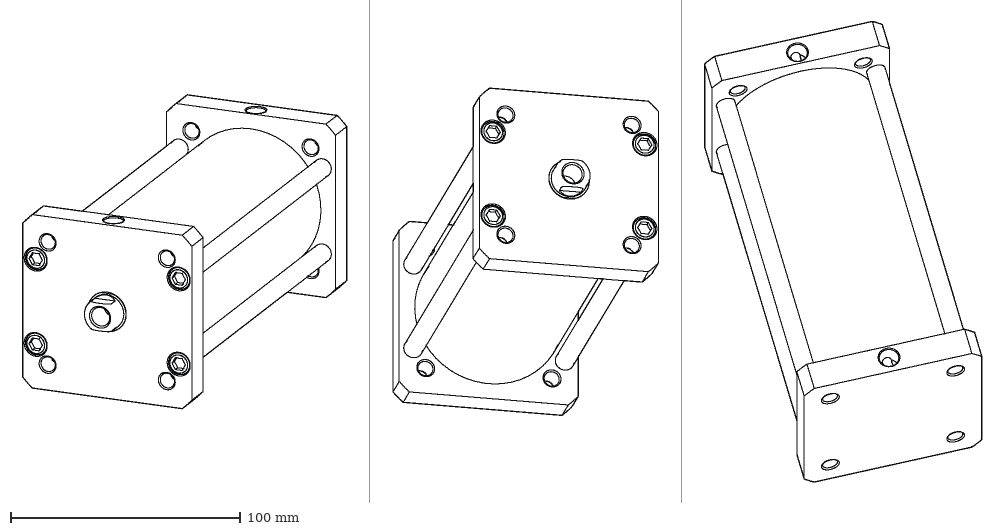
import cadquery as cq
import math

overall_length = 182.0
cap_width = 80.0
cap_thickness = 12.7
cap_corner_diameter = 107.0
rod_reach = 8.0
tube_length = overall_length - rod_reach - 2 * cap_thickness
rear_cap_front = cap_thickness + tube_length

tube_diameter = 66.2
tube_bore = 63.0

mount_offset = 28.2
mount_diameter = 6.7
mount_mouth_diameter = 8.0
mount_chamfer = (mount_mouth_diameter - mount_diameter) / 2

port_diameter = 8.5
port_mouth_diameter = 9.5
port_chamfer = (port_mouth_diameter - port_diameter) / 2
port_depth = 9.1
port_from_tube = 5.6
port_rib_diameter = 4.0
drill_point_angle = 118.0

tie_offset_x = 33.9
tie_offset_z = 19.7
tie_diameter = 8.4
tie_seat_depth = 7.3
head_diameter = 10.0
head_height = 5.5
head_chamfer = 1.0
counterbore_mouth_diameter = 11.0
counterbore_chamfer = (counterbore_mouth_diameter - head_diameter) / 2
socket_sides = 6
socket_flats = 5.5
socket_depth = 4.4

rod_diameter = 18.0
rod_neck_diameter = 16.0
rod_collar_reach = 0.4
rod_end_fillet = 1.8
rod_flats = 12.7
rod_flat_start = 2.5
rod_thread_diameter = 8.5
rod_thread_mouth = 10.0
rod_thread_depth = 14.5
rod_thread_point = 0.5

along_y = cq.Vector(0, 1, 0)
tie_places = [(x, z) for x in (-tie_offset_x, tie_offset_x) for z in (-tie_offset_z, tie_offset_z)]


def cylinder_y(diameter, start, length, x=0.0, z=0.0):
    """Cylinder that runs from Y = start toward +Y."""
    base = cq.Vector(x, start, z)
    return cq.Workplane(cq.Solid.makeCylinder(diameter / 2, length, base, along_y))


def cone_y(start_diameter, end_diameter, start, length, x=0.0, z=0.0):
    """Cone that runs from Y = start toward +Y."""
    base = cq.Vector(x, start, z)
    return cq.Workplane(cq.Solid.makeCone(start_diameter / 2, end_diameter / 2, length, base, along_y))


def drill_point(diameter):
    """Height of the cone that a drill leaves at the bottom of a hole."""
    return diameter / 2 / math.tan(math.radians(drill_point_angle / 2))


def make_cap_plate(start):
    """Square plate with corners turned to one diameter, and mounting holes chamfered at both ends."""
    square = (
        cq.Workplane("XY")
        .box(cap_width, cap_thickness, cap_width)
        .translate((0, start + cap_thickness / 2, 0))
    )
    plate = square.intersect(cylinder_y(cap_corner_diameter, start, cap_thickness))
    rear_chamfer_start = start + cap_thickness - mount_chamfer
    for x in (-mount_offset, mount_offset):
        for z in (-mount_offset, mount_offset):
            plate = plate.cut(cylinder_y(mount_diameter, start, cap_thickness, x, z))
            plate = plate.cut(cone_y(mount_mouth_diameter, mount_diameter, start, mount_chamfer, x, z))
            plate = plate.cut(
                cone_y(mount_diameter, mount_mouth_diameter, rear_chamfer_start, mount_chamfer, x, z)
            )
    return plate


def cut_port(cap, port_y):
    """Blind port with a chamfered mouth and a drill-point bottom crossed by a round rib."""
    top_z = cap_width / 2
    floor_z = top_z - port_depth
    down = cq.Vector(0, 0, -1)
    mouth = cq.Solid.makeCone(
        port_mouth_diameter / 2, port_diameter / 2, port_chamfer, cq.Vector(0, port_y, top_z), down
    )
    bore = cq.Solid.makeCylinder(port_diameter / 2, port_depth, cq.Vector(0, port_y, top_z), down)
    point = cq.Solid.makeCone(
        port_diameter / 2, 0, drill_point(port_diameter), cq.Vector(0, port_y, floor_z), down
    )
    rib = cylinder_y(port_rib_diameter, port_y - port_diameter / 2, port_diameter, z=floor_z)
    port = cq.Workplane(bore.fuse(point)).cut(rib).union(cq.Workplane(mouth))
    return cap.cut(port)


def make_front_cap():
    """Cap with a port, the rod bore, and counterbored through holes for the tie rods."""
    cap = cut_port(make_cap_plate(0.0), cap_thickness - port_from_tube)
    for x, z in tie_places:
        cap = cap.cut(cone_y(counterbore_mouth_diameter, head_diameter, 0.0, counterbore_chamfer, x, z))
        cap = cap.cut(cylinder_y(head_diameter, 0.0, head_height, x, z))
        cap = cap.cut(cylinder_y(tie_diameter, 0.0, cap_thickness, x, z))
    return cap.cut(cylinder_y(rod_diameter, 0.0, cap_thickness))


def make_rear_cap():
    """Cap with a port and blind seats for the tie rods."""
    cap = cut_port(make_cap_plate(rear_cap_front), rear_cap_front + port_from_tube)
    for x, z in tie_places:
        cap = cap.cut(cylinder_y(tie_diameter, rear_cap_front, tie_seat_depth, x, z))
    return cap


def make_tube():
    """Thin-walled barrel clamped between the caps."""
    return cylinder_y(tube_diameter, cap_thickness, tube_length).cut(
        cylinder_y(tube_bore, cap_thickness, tube_length)
    )


def make_tie_rod(x, z):
    """Tie rod with a socket head that sits flush in the front cap."""
    head = cylinder_y(head_diameter, 0.0, head_height).faces("<Y").edges().chamfer(head_chamfer)
    tie = head.union(cylinder_y(tie_diameter, 0.0, rear_cap_front + tie_seat_depth))
    socket_corners = socket_flats / math.cos(math.pi / socket_sides)
    hexagon = cq.Workplane("XZ").polygon(socket_sides, socket_corners).extrude(-head_height)
    cone_base_diameter = 2 * socket_depth * math.tan(math.radians(drill_point_angle / 2))
    bottom_cone = cone_y(cone_base_diameter, 0, 0.0, socket_depth)
    tie = tie.cut(hexagon.intersect(bottom_cone))
    return tie.translate((x, 0, z))


def make_piston_rod():
    """Rod stub through the front cap, with a collar, a neck, two wrench flats and a tapped hole."""
    end = -rod_reach
    rod = cylinder_y(rod_diameter, -rod_collar_reach, rod_collar_reach + cap_thickness)
    neck = cylinder_y(rod_neck_diameter, end, rod_reach).faces("<Y").edges().fillet(rod_end_fillet)
    rod = rod.union(neck)

    flat_z = rod_flats / 2
    outer_z = rod_diameter
    flat_cut = (
        cq.Workplane("YZ")
        .polyline(
            [
                (end, flat_z),
                (-rod_flat_start, flat_z),
                (-rod_flat_start + outer_z - flat_z, outer_z),
                (end, outer_z),
            ]
        )
        .close()
        .extrude(rod_diameter / 2, both=True)
    )
    rod = rod.cut(flat_cut).cut(flat_cut.mirror("XY"))

    mouth_chamfer = (rod_thread_mouth - rod_thread_diameter) / 2
    rod = rod.cut(cylinder_y(rod_thread_diameter, end, rod_thread_depth))
    rod = rod.cut(cone_y(rod_thread_diameter, 0, end + rod_thread_depth, rod_thread_point))
    return rod.cut(cone_y(rod_thread_mouth, rod_thread_diameter, end, mouth_chamfer))


front_cap = make_front_cap()
rear_cap = make_rear_cap()
tube = make_tube()
piston_rod = make_piston_rod()
tie_rods = [make_tie_rod(x, z) for x, z in tie_places]

result = cq.Compound.makeCompound(
    [front_cap.val(), rear_cap.val(), tube.val(), piston_rod.val(), *[tie.val() for tie in tie_rods]]
)